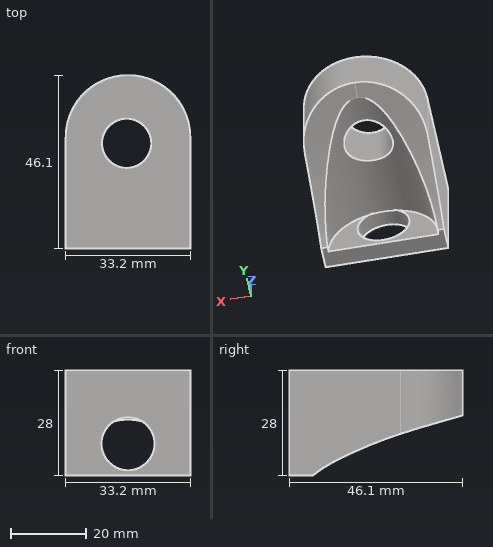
import cadquery as cq

width = 33.2
length = 46.1
height = 28.0
end_radius = width / 2
shoulder_y = length - end_radius

foot_length = 6.2
lip_z = 16.0
underside_points = [(12.45, 4.0), (17.5, 6.4), (23.05, 8.75), (shoulder_y, 11.05), (length, lip_z)]

vertical_hole_diameter = 13.0
vertical_hole_x = -0.35
vertical_hole_y = 27.98

front_hole_diameter = 14.0
front_hole_z = 8.5

front_wall = 4.85
arch_radius = 14.85


def rounded_block():
    return (
        cq.Workplane("XY")
        .moveTo(-width / 2, 0)
        .lineTo(width / 2, 0)
        .lineTo(width / 2, shoulder_y)
        .threePointArc((0, length), (-width / 2, shoulder_y))
        .close()
        .extrude(height)
    )


def underside_cut():
    return (
        cq.Workplane("YZ")
        .moveTo(foot_length, 0)
        .spline(underside_points, includeCurrent=True)
        .lineTo(length, 0)
        .close()
        .extrude(width / 2, both=True)
    )


def vertical_hole():
    return (
        cq.Workplane("XY")
        .center(vertical_hole_x, vertical_hole_y)
        .circle(vertical_hole_diameter / 2)
        .extrude(height)
    )


def front_hole():
    return (
        cq.Workplane("XZ")
        .center(0, front_hole_z)
        .circle(front_hole_diameter / 2)
        .extrude(-front_wall)
    )


def arched_pocket():
    return (
        cq.Workplane("XZ", origin=(0, front_wall, 0))
        .circle(arch_radius)
        .extrude(front_wall - length)
    )


result = (
    rounded_block()
    .cut(underside_cut())
    .cut(arched_pocket())
    .cut(vertical_hole())
    .cut(front_hole())
)